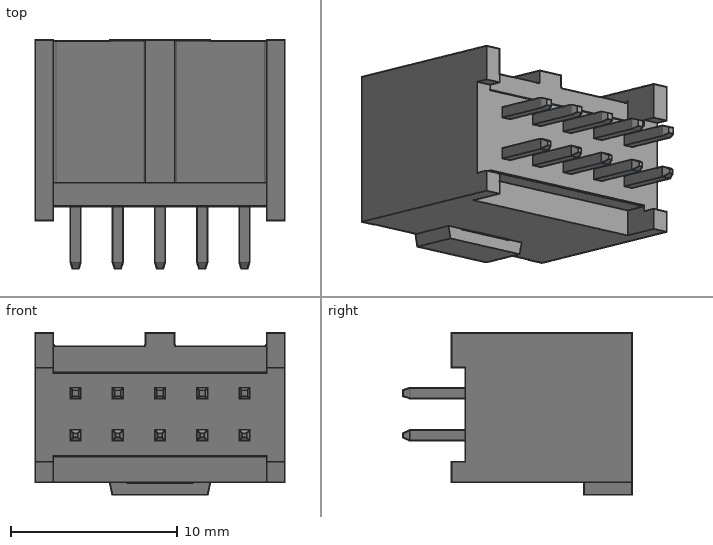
import cadquery as cq


width = 15.04
housing_height = 9.0
side_wall = 1.1
side_wall_length = 10.89
inner_width = width - 2 * side_wall

core_back_setback = 0.06
core_length = 10.06
roof_height = 8.2
shoulder_length = 8.6
upper_shoulder = 6.62
lower_shoulder = 1.55
shoulder_chamfer = 0.06

foot_gap_bottom = 1.25
foot_gap_top = 6.9

rib_width = 1.77
wall_fillet = 0.15
rib_fillet = 0.1

tab_height = 0.75
tab_length = 2.9
tab_root_width = 6.08
tab_tip_width = 5.76
tab_root_chamfer = 0.05
tab_root_chamfer_width = 3.94

pin_columns = 5
pin_pitch = 2.54
pin_size = 0.65
pin_tip_y = -13.8
pin_taper_length = 0.42
lower_row_height = 2.83
upper_row_height = lower_row_height + pin_pitch
lower_tip_size = 0.25
upper_tip_size = 0.38


def block(x_size, y_back, y_front, z_bottom, z_top):
    """Box centred on X, running from y_back down to y_front."""
    return (
        cq.Workplane("XY")
        .box(x_size, y_back - y_front, z_top - z_bottom, centered=(True, False, False))
        .translate((0, y_front, z_bottom))
    )


def make_side_walls():
    walls = block(width, 0, -side_wall_length, 0, housing_height)
    between = block(inner_width, 0, -side_wall_length, 0, housing_height)
    foot_gap = block(width, -core_length, -side_wall_length, foot_gap_bottom, foot_gap_top)
    return walls.cut(between).cut(foot_gap)


def make_core():
    """Stepped side profile, extruded across the space between the walls."""
    profile = [
        (-core_back_setback, 0),
        (-shoulder_length, 0),
        (-shoulder_length, lower_shoulder),
        (shoulder_chamfer - core_length, lower_shoulder),
        (-core_length, lower_shoulder + shoulder_chamfer),
        (-core_length, upper_shoulder - shoulder_chamfer),
        (shoulder_chamfer - core_length, upper_shoulder),
        (-shoulder_length, upper_shoulder),
        (-shoulder_length, roof_height),
        (-core_back_setback, roof_height),
    ]
    return cq.Workplane("YZ").polyline(profile).close().extrude(inner_width / 2, both=True)


def make_rib():
    return block(rib_width, 0, -shoulder_length, roof_height, housing_height)


def make_roof_fillet(corner_x, radius, direction):
    """Concave fillet along the roof, spreading from corner_x in the given X direction."""
    edge_x = corner_x + direction * radius
    arc_center = cq.Vector(edge_x, roof_height + radius)
    arc_middle = arc_center + cq.Vector(-direction, -1).normalized() * radius
    return (
        cq.Workplane("XZ", origin=(0, -core_back_setback, 0))
        .moveTo(corner_x, roof_height)
        .lineTo(edge_x, roof_height)
        .threePointArc((arc_middle.x, arc_middle.y), (corner_x, roof_height + radius))
        .close()
        .extrude(shoulder_length - core_back_setback)
    )


def make_tab():
    profile = [
        (-tab_root_width / 2, 0),
        (tab_root_width / 2, 0),
        (tab_tip_width / 2, -tab_height),
        (-tab_tip_width / 2, -tab_height),
    ]
    return cq.Workplane("XZ").polyline(profile).close().extrude(tab_length)


def make_tab_root_chamfer():
    """Small reinforcing wedge where the tab front meets the underside."""
    profile = [
        (-tab_length, 0),
        (-tab_length - tab_root_chamfer, 0),
        (-tab_length, -tab_root_chamfer),
    ]
    return cq.Workplane("YZ").polyline(profile).close().extrude(tab_root_chamfer_width / 2, both=True)


def make_pin(x, z, tip_size):
    """Square pin from the pin face, tapered at its end."""
    taper_start_y = pin_tip_y + pin_taper_length
    shank = (
        cq.Workplane("XZ", origin=(x, -core_length, z))
        .rect(pin_size, pin_size)
        .extrude(-core_length - taper_start_y)
    )
    tip = (
        cq.Workplane("XZ", origin=(x, taper_start_y, z))
        .rect(pin_size, pin_size)
        .workplane(offset=pin_taper_length)
        .rect(tip_size, tip_size)
        .loft()
    )
    return shank.union(tip)


result = make_core().union(make_side_walls()).union(make_rib())
for side in (-1, 1):
    result = result.union(make_roof_fillet(side * inner_width / 2, wall_fillet, -side))
    result = result.union(make_roof_fillet(side * rib_width / 2, rib_fillet, side))

result = result.union(make_tab()).union(make_tab_root_chamfer())

for row_height, row_tip_size in ((lower_row_height, lower_tip_size), (upper_row_height, upper_tip_size)):
    for column in range(pin_columns):
        pin_x = (column - (pin_columns - 1) / 2) * pin_pitch
        result = result.union(make_pin(pin_x, row_height, row_tip_size))